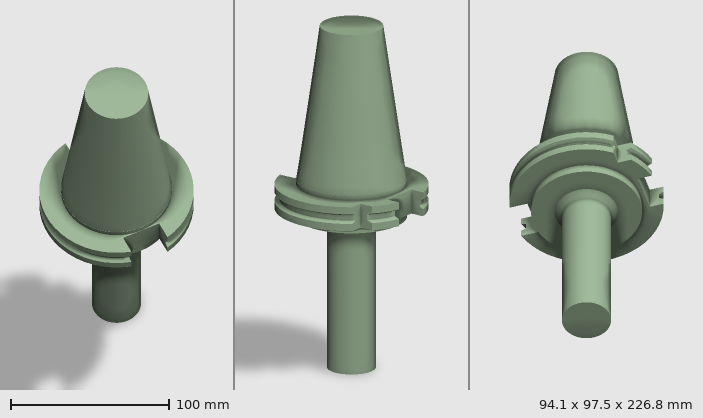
import cadquery as cq

total_height = 226.8
taper_length = 101.8
gauge_to_flange = 3.2
flange_thickness = 15.9
boss_bottom_z = 100.0
neck_height = 4.8

gauge_z = total_height - taper_length
flange_top_z = gauge_z - gauge_to_flange
flange_bottom_z = flange_top_z - flange_thickness
neck_bottom_z = boss_bottom_z - neck_height

gauge_radius = 69.8 / 2
collar_radius = 70.0 / 2
taper_rate = 7 / 24
taper_tip_radius = gauge_radius - taper_length * taper_rate / 2
flange_radius = 97.5 / 2
shank_radius = 31.0 / 2
neck_top_radius = 20.0

groove_center_z = gauge_z - 11.0
groove_mouth_width = 6.3
groove_floor_width = 3.6
groove_floor_radius = 45.8

slot_width = 25.5
left_slot_floor = 37.9
right_slot_floor = 35.1
notch_offset = 29.7


def make_turned_body():
    """Revolve the taper, grooved flange, boss, neck and shank about Z."""
    half_mouth = groove_mouth_width / 2
    half_floor = groove_floor_width / 2
    profile = [
        (0, 0),
        (shank_radius, 0),
        (shank_radius, neck_bottom_z),
        (neck_top_radius, boss_bottom_z),
        (collar_radius, boss_bottom_z),
        (collar_radius, flange_bottom_z),
        (flange_radius, flange_bottom_z),
        (flange_radius, groove_center_z - half_mouth),
        (groove_floor_radius, groove_center_z - half_floor),
        (groove_floor_radius, groove_center_z + half_floor),
        (flange_radius, groove_center_z + half_mouth),
        (flange_radius, flange_top_z),
        (collar_radius, flange_top_z),
        (collar_radius, gauge_z),
        (gauge_radius, gauge_z),
        (taper_tip_radius, total_height),
        (0, total_height),
    ]
    return cq.Workplane("XZ").polyline(profile).close().revolve(360, (0, 0), (0, 1))


def flange_cutter(x_inner, x_outer, y_low, y_high):
    """Rectangular cutter spanning the full flange thickness."""
    return (
        cq.Workplane("XY", origin=(0, 0, flange_bottom_z))
        .moveTo(x_inner, y_low)
        .lineTo(x_outer, y_low)
        .lineTo(x_outer, y_high)
        .lineTo(x_inner, y_high)
        .close()
        .extrude(flange_thickness)
    )


half_slot = slot_width / 2
left_slot = flange_cutter(-left_slot_floor, -flange_radius, -half_slot, half_slot)
right_slot = flange_cutter(right_slot_floor, flange_radius, -half_slot, half_slot)
corner_notch = flange_cutter(-notch_offset, -flange_radius, notch_offset, flange_radius)

result = make_turned_body().cut(left_slot).cut(right_slot).cut(corner_notch)